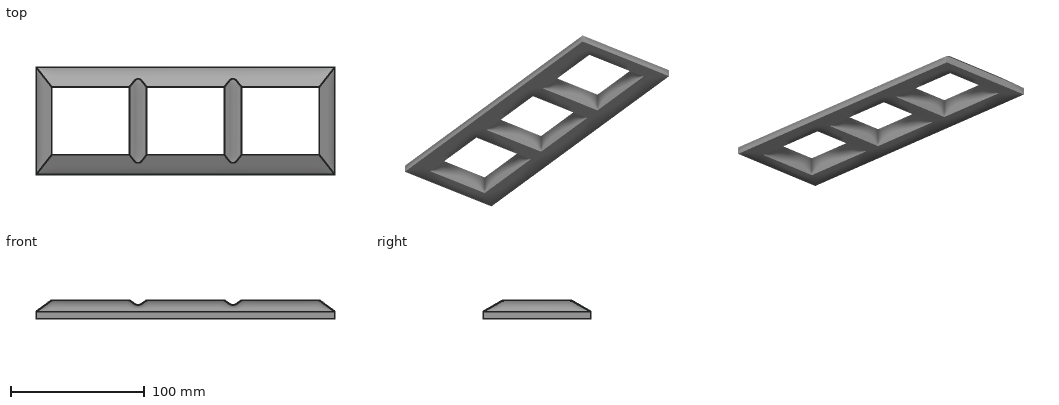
import cadquery as cq
import math

length = 223.5
width = 80.5
height = 14.0
rim_height = 5.4

window_count = 3
window_length = 58.0
window_width = 50.5
bar_width = 13.0
window_pitch = window_length + bar_width
opening_length = window_count * window_length + (window_count - 1) * bar_width

bevel_height = height - rim_height
end_bevel_run = (length - opening_length) / 2

flank_angle = math.atan2(bevel_height, end_bevel_run)
groove_radius = 5.0


def centered_positions(count, pitch):
    """X positions of evenly spaced features centred on the origin."""
    return [(i - (count - 1) / 2) * pitch for i in range(count)]


def make_beveled_block():
    rim = cq.Workplane("XY").box(length, width, rim_height, centered=(True, True, False))
    bevels = (
        cq.Workplane("XY")
        .workplane(offset=rim_height)
        .rect(length, width)
        .workplane(offset=bevel_height)
        .rect(opening_length, window_width)
        .loft(ruled=True)
    )
    return rim.union(bevels)


def make_window(x):
    return (
        cq.Workplane("XY")
        .center(x, 0)
        .box(window_length, window_width, height, centered=(True, True, False))
    )


def make_groove(x):
    half_width = bar_width / 2
    tangent_x = groove_radius * math.sin(flank_angle)
    tangent_z = height - (half_width - tangent_x) * math.tan(flank_angle)
    bottom_z = tangent_z - groove_radius * (1 - math.cos(flank_angle))
    return (
        cq.Workplane("XZ", origin=(x, 0, 0))
        .moveTo(-half_width, height)
        .lineTo(-tangent_x, tangent_z)
        .threePointArc((0, bottom_z), (tangent_x, tangent_z))
        .lineTo(half_width, height)
        .close()
        .extrude(width / 2, both=True)
    )


result = make_beveled_block()
for window_x in centered_positions(window_count, window_pitch):
    result = result.cut(make_window(window_x))
for bar_x in centered_positions(window_count - 1, window_pitch):
    result = result.cut(make_groove(bar_x))